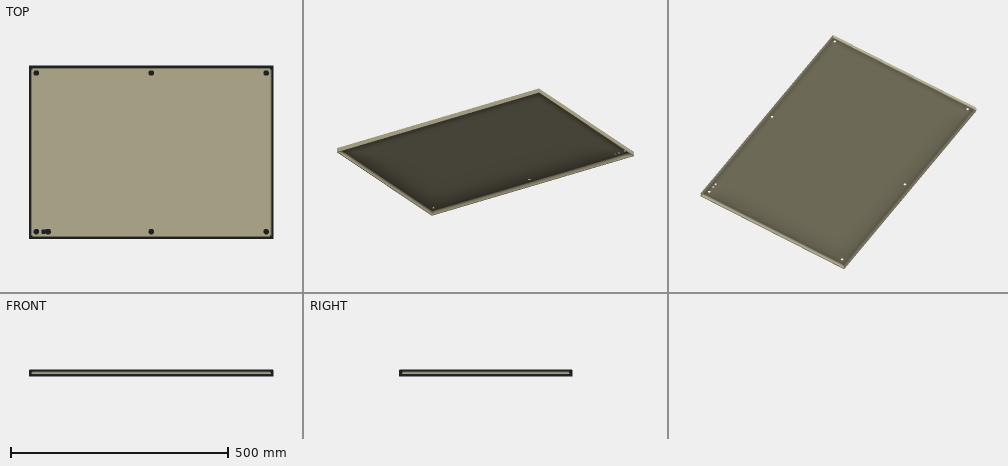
import cadquery as cq

length = 559.0
width = 395.0
height = 12.0
sheet = 2.0

bend_outer_radius = 4.0
bend_inner_radius = bend_outer_radius - sheet
flange_straight = height - bend_outer_radius

seam_gap = 0.1

mounting_hole_diameter = 6.5
mounting_hole_inset = 15.0
mounting_columns = 3
mounting_rows = 2
mounting_pitch_x = (length - 2 * mounting_hole_inset) / (mounting_columns - 1)
mounting_pitch_y = (width - 2 * mounting_hole_inset) / (mounting_rows - 1)

earth_row_y = mounting_hole_inset - width / 2
earth_hole_x = -247.5
earth_hole_diameter = 5.0
countersunk_hole_x = -237.5
countersunk_hole_diameter = 4.5
countersink_diameter = 8.0
countersink_angle = 90.0


def upright_block(size_x, size_y, size_z):
    """Upright block standing on Z = 0."""
    return cq.Workplane("XY").box(size_x, size_y, size_z, centered=(True, True, False))


def tray():
    """Sheet face with a flange folded down along every side."""
    outside = upright_block(length, width, height)
    outside = outside.faces(">Z").edges().fillet(bend_outer_radius)
    inside = upright_block(length - 2 * sheet, width - 2 * sheet, height - sheet)
    inside = inside.faces(">Z").edges().fillet(bend_inner_radius)
    return outside.cut(inside)


def cut_corner_seams(body):
    """Butt joint in the long flanges and relief slit in the short bends, at each corner."""
    flange_seam_x = length / 2 - sheet
    bend_slit_y = width / 2 - bend_outer_radius
    for side_x in (-1, 1):
        for side_y in (-1, 1):
            flange_seam = upright_block(seam_gap, sheet, flange_straight).translate(
                (side_x * flange_seam_x, side_y * (width - sheet) / 2, 0)
            )
            bend_slit = upright_block(bend_outer_radius, seam_gap, bend_outer_radius).translate(
                (side_x * (length - bend_outer_radius) / 2, side_y * bend_slit_y, flange_straight)
            )
            body = body.cut(flange_seam).cut(bend_slit)
    return body


def face_plane(body, x, y):
    """Work plane on the top face with its origin at (x, y)."""
    return body.faces(">Z").workplane(origin=(x, y, height))


def drill_mounting_holes(body):
    """Plain holes in rows along the long sides."""
    plane = face_plane(body, 0, 0)
    centres = plane.rarray(mounting_pitch_x, mounting_pitch_y, mounting_columns, mounting_rows)
    return centres.hole(mounting_hole_diameter)


def drill_earth_holes(body):
    """One plain and one countersunk hole beside the front left mounting hole."""
    body = face_plane(body, earth_hole_x, earth_row_y).hole(earth_hole_diameter)
    return face_plane(body, countersunk_hole_x, earth_row_y).cskHole(
        countersunk_hole_diameter, countersink_diameter, countersink_angle
    )


result = tray()
result = cut_corner_seams(result)
result = drill_mounting_holes(result)
result = drill_earth_holes(result)